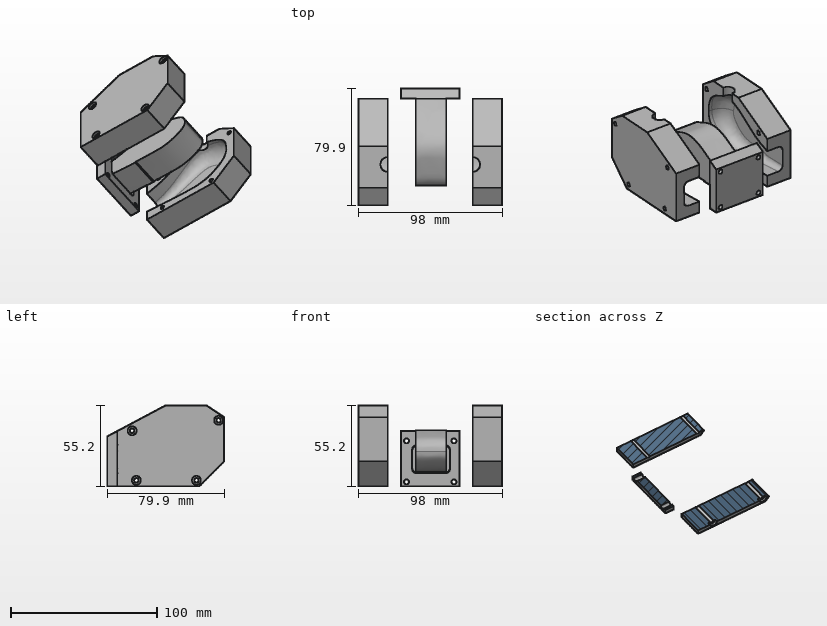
import cadquery as cq


total_height = 55.18
half_length = 72.9
roof_back_y = -32.7
roof_front_y = -60.9
back_edge_height = 37.8
front_top_height = 47.2
front_bottom_chamfer = 17.0
roof_slope = (total_height - back_edge_height) / roof_back_y

half_thickness = 20.0
parting_gap = 29.0
screw_clearance_diameter = 3.2
screw_thread_diameter = 2.9
screw_head_diameter = 6.1
screw_head_depth = 2.0
screw_positions = [(-10.0, 37.9), (-12.9, 4.05), (-53.9, 4.05), (-69.0, 45.0)]
sprue_diameter = 10.0
sprue_y = -45.0

mouth_bottom = 8.75
mouth_top = 28.1
cavity_depth = 13.1
mouth_top_slope = 0.3
mouth_bottom_slope = 0.08
mouth_radius = 3.7
nose_radius = 11.0
cavity_nose = (-66.5, 29.0)
cavity_top_points = [(-12.5, 33.0), (-28.0, 43.0), (-44.0, 49.3), (-58.0, 45.0)]
cavity_bottom_points = [(-20.0, 7.2), (-38.0, 6.6), (-50.0, 8.8), (-61.5, 17.0)]

plate_width = 40.0
plate_thickness = 7.0
plate_hole_diameter = 3.2
plate_hole_spacing_x = 32.4
plate_hole_spacing_z = 28.0
plate_hole_base_z = 3.0
recess_depth = 3.5
recess_taper = 5.0

core_center_x = 0.55
core_width = 21.1
core_foot_bottom = 11.2
core_foot_top = 24.65
core_nose = (-59.5, 24.0)
core_top_points = [(-10.0, 29.0), (-24.0, 36.0), (-37.0, 38.3), (-51.0, 34.0)]
core_bottom_points = [(-18.0, 10.2), (-34.0, 9.9), (-45.0, 11.2), (-55.0, 16.3)]


def roof_height(y):
    """Height of the sloping roof, shared by the mould halves and the plate."""
    return back_edge_height + roof_slope * y


def nosed_profile(start_y, bottom, top, bottom_points, top_points, nose):
    """Side profile with a straight back edge and a smooth rounded nose, drawn in Y-Z."""
    top_direction = (-1, mouth_top_slope)
    bottom_direction = (1, mouth_bottom_slope)
    nose_direction = (0, -1)
    upper_points = top_points + [nose]
    lower_points = bottom_points[::-1] + [(start_y, bottom)]
    return (
        cq.Workplane("YZ")
        .moveTo(start_y, top)
        .spline(upper_points, tangents=[top_direction, nose_direction], includeCurrent=True)
        .spline(lower_points, tangents=[nose_direction, bottom_direction], includeCurrent=True)
        .close()
    )


def make_cavity():
    """Blind pocket whose floor rounding grows from the mouth to the nose."""
    pocket = nosed_profile(
        0, mouth_bottom, mouth_top, cavity_bottom_points, cavity_top_points, cavity_nose
    ).extrude(cavity_depth)
    fillet = cq.occ_impl.shapes.BRepFilletAPI_MakeFillet(pocket.val().wrapped)
    for edge in pocket.faces(">X").edges("not(>Y)").vals():
        starts_at_mouth = edge.startPoint().y > edge.endPoint().y
        first, last = (mouth_radius, nose_radius) if starts_at_mouth else (nose_radius, mouth_radius)
        fillet.Add(first, last, edge.wrapped)
    rounded = cq.Shape.cast(fillet.Shape()).Solids()[0]
    return cq.Workplane(rounded).translate((parting_gap, 0, 0))


def make_block():
    """Mould half on the +X side, without screw holes."""
    block = (
        cq.Workplane("YZ", origin=(parting_gap, 0, 0))
        .polyline([
            (0, 0),
            (0, back_edge_height),
            (roof_back_y, total_height),
            (roof_front_y, total_height),
            (-half_length, front_top_height),
            (-half_length, front_bottom_chamfer),
            (front_bottom_chamfer - half_length, 0),
        ])
        .close()
        .extrude(half_thickness)
    )
    sprue_base = cavity_nose[1]
    sprue = (
        cq.Workplane("XY", origin=(parting_gap, sprue_y, sprue_base))
        .circle(sprue_diameter / 2)
        .extrude(total_height - sprue_base)
    )
    return block.cut(make_cavity()).cut(sprue)


def screw_bores(start_x, length, diameter):
    """Bores along +X at every screw position."""
    return (
        cq.Workplane("YZ", origin=(start_x, 0, 0))
        .pushPoints(screw_positions)
        .circle(diameter / 2)
        .extrude(length)
    )


def make_threaded_half():
    """+X half: plain through holes for the screw threads."""
    return make_block().cut(screw_bores(parting_gap, half_thickness, screw_thread_diameter))


def make_clearance_half():
    """-X half: clearance holes with head counterbores on the outer face."""
    outer_x = -parting_gap - half_thickness
    half = make_block().mirror("YZ")
    half = half.cut(screw_bores(outer_x, half_thickness, screw_clearance_diameter))
    return half.cut(screw_bores(outer_x, screw_head_depth, screw_head_diameter))


def make_plate():
    """End plate with the sloping top, a drafted recess and four mounting holes."""
    plate = (
        cq.Workplane("YZ", origin=(-plate_width / 2, 0, 0))
        .polyline([
            (0, 0),
            (plate_thickness, 0),
            (plate_thickness, roof_height(plate_thickness)),
            (0, back_edge_height),
        ])
        .close()
        .extrude(plate_width)
    )
    recess = (
        cq.Workplane("XZ", origin=(core_center_x, 0, (mouth_bottom + mouth_top) / 2))
        .sketch()
        .rect(2 * cavity_depth, mouth_top - mouth_bottom)
        .vertices()
        .fillet(mouth_radius)
        .finalize()
        .extrude(-recess_depth, taper=recess_taper)
    )
    hole_center_z = plate_hole_base_z + plate_hole_spacing_z / 2
    holes = (
        cq.Workplane("XZ", origin=(0, 0, hole_center_z))
        .rarray(plate_hole_spacing_x, plate_hole_spacing_z, 2, 2)
        .circle(plate_hole_diameter / 2)
        .extrude(-plate_thickness)
    )
    return plate.cut(recess).cut(holes)


def make_core():
    """Core that stands on the recess floor."""
    core = nosed_profile(
        recess_depth,
        core_foot_bottom,
        core_foot_top,
        core_bottom_points,
        core_top_points,
        core_nose,
    ).extrude(core_width)
    return core.translate((core_center_x - core_width / 2, 0, 0))


threaded_half = make_threaded_half()
clearance_half = make_clearance_half()
core_plate = make_plate().union(make_core())

result = cq.Compound.makeCompound([
    *threaded_half.solids().vals(),
    *clearance_half.solids().vals(),
    *core_plate.solids().vals(),
])